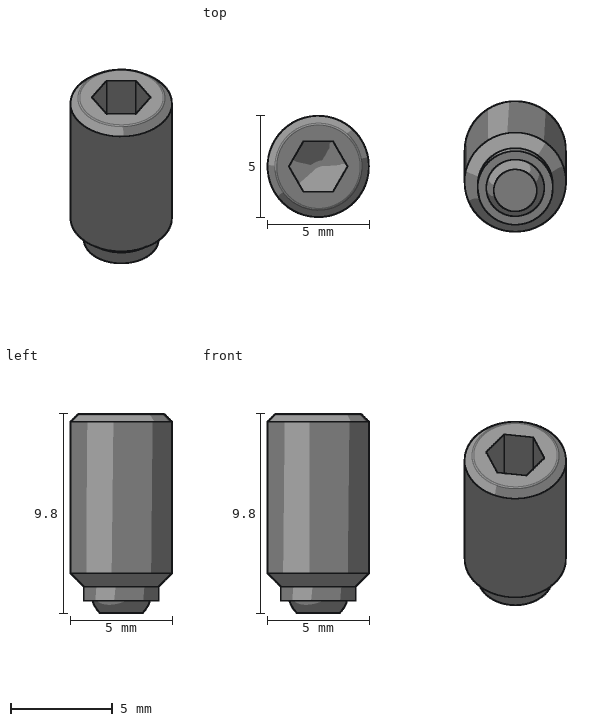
import cadquery as cq
import math

total_height = 9.8
screw_radius = 2.5
top_chamfer = 0.39
top_edge_fillet = 0.13

collar_radius = 1.85
collar_bottom = 0.6
lower_cone_bottom = 1.3
lower_cone_top = lower_cone_bottom + screw_radius - collar_radius

ball_radius = 1.5
ball_flat_radius = 1.06
ball_center = math.sqrt(ball_radius**2 - ball_flat_radius**2)

hex_across_flats = 2.5
hex_wall_depth = 2.94
hex_floor_angle = 120.0
hex_corner_radius = hex_across_flats / math.sqrt(3)
hex_floor_depth = hex_corner_radius / math.tan(math.radians(hex_floor_angle / 2))


def make_ball():
    """Ball with a flat ground on its lower side."""
    sphere = cq.Workplane("XY").sphere(ball_radius).translate((0, 0, ball_center))
    above_flat = cq.Workplane("XY").circle(screw_radius).extrude(total_height)
    return sphere.intersect(above_flat)


def make_hex_socket():
    """Hexagonal socket volume, with two corners on X and a conical floor."""
    floor_corner_z = total_height - hex_wall_depth
    floor_tip_z = floor_corner_z - hex_floor_depth
    prism = (
        cq.Workplane("XY", origin=(0, 0, floor_tip_z))
        .polygon(6, 2 * hex_corner_radius)
        .extrude(total_height - floor_tip_z)
    )
    cone_height = screw_radius / math.tan(math.radians(hex_floor_angle / 2))
    pointed_cylinder = (
        cq.Workplane("XZ")
        .moveTo(0, floor_tip_z)
        .lineTo(screw_radius, floor_tip_z + cone_height)
        .lineTo(screw_radius, total_height)
        .lineTo(0, total_height)
        .close()
        .revolve(360, (0, 0, 0), (0, 1, 0))
    )
    return prism.intersect(pointed_cylinder)


def make_screw():
    """Turned screw body with a hexagonal socket above and a ball seat below."""
    blank = (
        cq.Workplane("XZ")
        .moveTo(0, collar_bottom)
        .lineTo(collar_radius, collar_bottom)
        .lineTo(collar_radius, lower_cone_bottom)
        .lineTo(screw_radius, lower_cone_top)
        .lineTo(screw_radius, total_height - top_chamfer)
        .lineTo(screw_radius - top_chamfer, total_height)
        .lineTo(0, total_height)
        .close()
        .revolve(360, (0, 0, 0), (0, 1, 0))
    )
    rounded = blank.faces(">Z").edges().fillet(top_edge_fillet)
    return rounded.cut(make_hex_socket()).cut(make_ball())


screw = make_screw()
ball = make_ball()

result = cq.Compound.makeCompound([screw.solids().val(), ball.solids().val()])